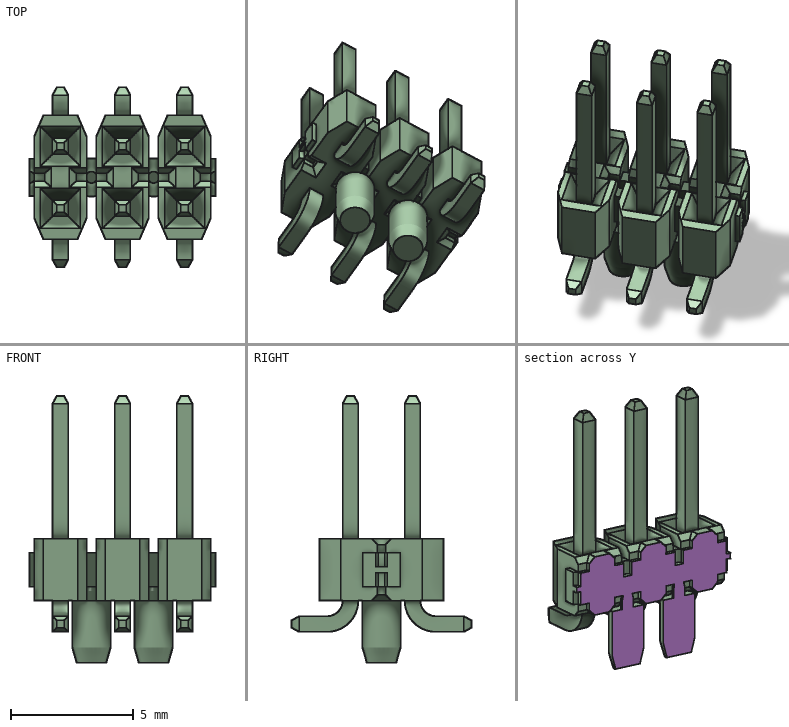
import cadquery as cq
import math

pitch = 2.54
columns = 3
pin_side = 0.65
overlap = 0.02

block_width = 2.16
block_depth = 2 * pitch
block_height = pitch
corner_x = 0.38
corner_y = 0.88

lead_in_side = 1.64
lead_in_depth = (lead_in_side - pin_side) / 2

funnel_width = 0.80
funnel_length = 0.71
funnel_depth = 0.25
slot_width = 0.33
slot_length = 0.44

web_depth = 1.53
web_height = 1.40
web_notch_diameter = 0.47
web_bar_thickness = 0.25
web_length = columns * pitch
web_bottom = (block_height - web_height) / 2
web_notch_depth = (web_height - web_bar_thickness) / 2

pin_exposed_length = 5.84
pin_top = block_height + pin_exposed_length
pin_tip_length = 0.32
pin_tip_side = 0.30
foot_drop = 1.28
foot_span = 7.37
bend_inner_radius = foot_drop - pin_side
bend_mid_radius = foot_drop - pin_side / 2

peg_radius = 0.79
peg_drop = pitch
peg_taper_length = 0.635
peg_end_radius = 0.61
neck_radius = 0.28
neck_taper_height = 0.17
neck_top_radius = 0.24

column_positions = [(i - (columns - 1) / 2) * pitch for i in range(columns)]
gap_positions = [(i - columns / 2) * pitch for i in range(columns + 1)]
inner_gaps = gap_positions[1:-1]
end_gaps = [gap_positions[0], gap_positions[-1]]


def mirror_y(shape):
    return shape.mirror("XZ")


def mirror_z(shape):
    """Mirror about the mid-height of the housing."""
    return shape.mirror("XY", (0, 0, block_height / 2))


def make_lead_in():
    """Square pyramidal recess narrowing down to the pin."""
    return (
        cq.Workplane("XY", origin=(0, pitch / 2, block_height))
        .rect(lead_in_side, lead_in_side)
        .workplane(offset=-lead_in_depth)
        .rect(pin_side, pin_side)
        .loft(ruled=True)
    )


def make_wall_recess():
    """Funnel and slot opening in the +X wall and the top of a block."""
    wall = block_width / 2
    funnel = (
        cq.Workplane("XY", origin=(wall, 0, block_height))
        .rect(2 * funnel_length, funnel_width)
        .workplane(offset=-funnel_depth)
        .rect(2 * slot_length, slot_width)
        .loft(ruled=True)
    )
    mid_height = block_height / 2
    slot = (
        cq.Workplane("XY", origin=(wall, 0, mid_height))
        .rect(2 * slot_length, slot_width)
        .extrude(block_height - mid_height)
    )
    return funnel.union(slot)


def make_block():
    half_width = block_width / 2
    half_depth = block_depth / 2
    outline = [
        (-half_width, -half_depth + corner_y),
        (-half_width + corner_x, -half_depth),
        (half_width - corner_x, -half_depth),
        (half_width, -half_depth + corner_y),
        (half_width, half_depth - corner_y),
        (half_width - corner_x, half_depth),
        (-half_width + corner_x, half_depth),
        (-half_width, half_depth - corner_y),
    ]
    block = cq.Workplane("XY").polyline(outline).close().extrude(block_height)

    lead_in = make_lead_in()
    block = block.cut(lead_in).cut(mirror_y(lead_in))

    upper_right = make_wall_recess()
    upper_left = upper_right.mirror("YZ")
    for recess in (upper_right, upper_left):
        block = block.cut(recess).cut(mirror_z(recess))
    return block


def make_web_notch(x):
    """Round notch in the top of the web, kept within the gap between blocks."""
    notch_floor = web_bottom + web_height - web_notch_depth
    notch_height = web_notch_depth + overlap
    gap_width = pitch - block_width
    cylinder = (
        cq.Workplane("XY", origin=(x, 0, notch_floor))
        .circle(web_notch_diameter / 2)
        .extrude(notch_height)
    )
    gap = (
        cq.Workplane("XY", origin=(x, 0, notch_floor))
        .rect(gap_width, web_depth)
        .extrude(notch_height)
    )
    return cylinder.intersect(gap)


def make_web():
    web = (
        cq.Workplane("XY", origin=(0, 0, web_bottom))
        .rect(web_length, web_depth)
        .extrude(web_height)
    )
    for x in gap_positions:
        web = web.cut(make_web_notch(x))
    for x in end_gaps:
        web = web.cut(mirror_z(make_web_notch(x)))
    return web


def make_tip(plane):
    """Blunt pyramidal point standing on the given plane."""
    return (
        cq.Workplane(plane)
        .rect(pin_side, pin_side)
        .workplane(offset=pin_tip_length)
        .rect(pin_tip_side, pin_tip_side)
        .loft(ruled=True)
    )


def make_pin():
    """Square pin of the +Y row, bent outwards into a surface-mount foot."""
    inner_face = pitch / 2 - pin_side / 2
    outer_face = pitch / 2 + pin_side / 2
    shank_top = pin_top - pin_tip_length
    foot_end = foot_span / 2 - pin_tip_length
    bend_y = outer_face + bend_inner_radius
    diagonal = math.cos(math.radians(45))
    inner_mid = (bend_y - bend_inner_radius * diagonal, -bend_inner_radius * diagonal)
    outer_mid = (bend_y - foot_drop * diagonal, -foot_drop * diagonal)
    pin = (
        cq.Workplane("YZ", origin=(-pin_side / 2, 0, 0))
        .moveTo(inner_face, shank_top)
        .lineTo(outer_face, shank_top)
        .lineTo(outer_face, 0)
        .threePointArc(inner_mid, (bend_y, -bend_inner_radius))
        .lineTo(foot_end, -bend_inner_radius)
        .lineTo(foot_end, -foot_drop)
        .lineTo(bend_y, -foot_drop)
        .threePointArc(outer_mid, (inner_face, 0))
        .close()
        .extrude(pin_side)
    )
    top_plane = cq.Plane(origin=(0, pitch / 2, shank_top))
    foot_plane = cq.Plane(
        origin=(0, foot_end, -bend_mid_radius), xDir=(1, 0, 0), normal=(0, 1, 0)
    )
    return pin.union(make_tip(top_plane)).union(make_tip(foot_plane))


def make_peg():
    """Round peg with a tapered end and a narrow neck that reaches up to the web."""
    profile = [
        (0, -peg_drop),
        (peg_end_radius, -peg_drop),
        (peg_radius, -peg_drop + peg_taper_length),
        (peg_radius, 0),
        (neck_radius, 0),
        (neck_radius, web_bottom - neck_taper_height),
        (neck_top_radius, web_bottom),
        (0, web_bottom),
    ]
    return cq.Workplane("XZ").polyline(profile).close().revolve(360, (0, 0), (0, 1))


block = make_block()
pin = make_pin()
peg = make_peg()

result = make_web()
for x in column_positions:
    result = result.union(block.translate((x, 0, 0)))
for x in inner_gaps:
    result = result.union(peg.translate((x, 0, 0)))
for x in column_positions:
    for row_pin in (pin, mirror_y(pin)):
        result = result.union(row_pin.translate((x, 0, 0)))